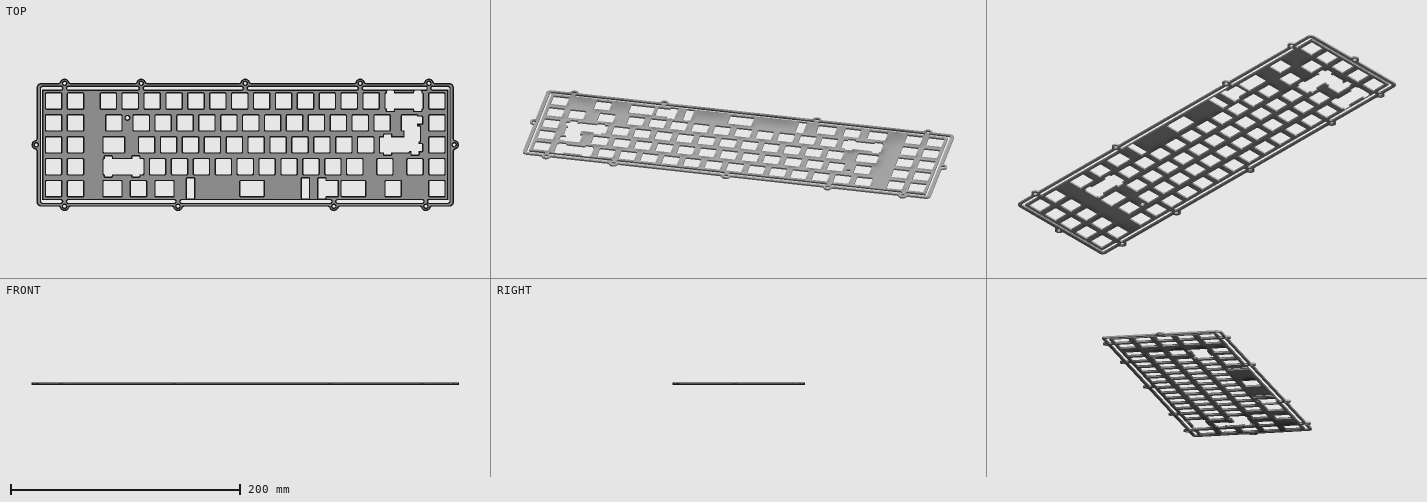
import cadquery as cq

THICKNESS = 1.5
KEY_PITCH = 19.05
COLUMN_SPAN = 18.5
ROW_COUNT = 5
ROW_MIDDLE = 0.5
PLATE_LENGTH = COLUMN_SPAN * KEY_PITCH
PLATE_WIDTH = ROW_COUNT * KEY_PITCH

OVERALL_LENGTH = 370.79
OVERALL_WIDTH = 114.22
END_GAP = 1.8
SIDE_GAP = 3.3
END_RAIL = 3.1
SIDE_RAIL = 2.4
GAP_LENGTH = PLATE_LENGTH + 2 * END_GAP
GAP_WIDTH = PLATE_WIDTH + 2 * SIDE_GAP
FRAME_LENGTH = GAP_LENGTH + 2 * END_RAIL
FRAME_WIDTH = GAP_WIDTH + 2 * SIDE_RAIL
FRAME_RADIUS = 4.0
GAP_RADIUS = 2.0
BRIDGE_WIDTH = 3.5
BRIDGE_FILLET = 1.6
POSITION_TOLERANCE = 0.01

LUG_RADIUS = 3.65
LUG_FILLET = 2.0
LUG_HOLE_DIAMETER = 3.5
END_LUG_X = OVERALL_LENGTH / 2 - LUG_RADIUS
LUG_Y = OVERALL_WIDTH / 2 - LUG_RADIUS
FAR_TOP_LUG_X = 159.75
LEFT_FOOT_LUG_X = -58.5
RIGHT_FOOT_LUG_X = 77.1
TOP_LUG_X = [-8.25 * KEY_PITCH, -4.75 * KEY_PITCH, 0, 5.25 * KEY_PITCH, FAR_TOP_LUG_X]
BOTTOM_LUG_X = [-8.25 * KEY_PITCH, LEFT_FOOT_LUG_X, RIGHT_FOOT_LUG_X, 8.25 * KEY_PITCH]

NUMBER_ROW, TAB_ROW, CAPS_ROW, SHIFT_ROW, SPACE_ROW = range(ROW_COUNT)

SWITCH_SIZE = 14.0
SLIVER_CLEARANCE = 4.0
CORNER_RADIUS = 0.75
STABILIZER_WIDTH = 7.0
STABILIZER_FRONT = 9.0
STABILIZER_BACK = 9.4
STABILIZER_OFFSET_2U = 11.94
STABILIZER_OFFSET_6U = 50.0
STABILIZER_OFFSET_7U = 57.15

RESET_HOLE_DIAMETER = 4.0
RESET_HOLE_X = -102.5
RESET_HOLE_Y = 23.5


def column_x(column):
    """X of a place counted in key units from the plate's left edge."""
    return column * KEY_PITCH - PLATE_LENGTH / 2


def row_y(row):
    """Y of a row's centre line, with row 0 at the top."""
    return PLATE_WIDTH / 2 - (row + ROW_MIDDLE) * KEY_PITCH


def rounded_block(length, width, radius, x=0, y=0):
    block = cq.Workplane("XY").box(length, width, THICKNESS, centered=(True, True, False))
    return block.edges("|Z").fillet(radius).translate((x, y, 0))


def disc(diameter, x, y):
    return cq.Workplane("XY").center(x, y).circle(diameter / 2).extrude(THICKNESS)


def switch_opening(row, first, last=None):
    """A switch opening, or one stretched over every switch place from first to last."""
    last = first if last is None else last
    length = SWITCH_SIZE + (last - first) * KEY_PITCH
    x = column_x((first + last) / 2)
    return rounded_block(length, SWITCH_SIZE, CORNER_RADIUS, x, row_y(row))


def stabilizer_slot(x, y, turned=False):
    """A slot reaching a little further to its back (+Y, or -X when turned) than to its front."""
    length = STABILIZER_FRONT + STABILIZER_BACK
    shift = (STABILIZER_BACK - STABILIZER_FRONT) / 2
    if turned:
        return rounded_block(length, STABILIZER_WIDTH, CORNER_RADIUS, x - shift, y)
    return rounded_block(STABILIZER_WIDTH, length, CORNER_RADIUS, x, y + shift)


def stabilizer_pair(row, column, offset):
    x = column_x(column)
    return [stabilizer_slot(x + side * offset, row_y(row)) for side in (-1, 1)]


def single_switches():
    """Openings for one switch place each; first and last column of each unbroken run."""
    runs = [
        [(0.5, 1.5), (3, 15), (18, 18)],
        [(0.5, 1.5), (3.25, 3.25), (4.5, 15.5), (16.75, 16.75), (18, 18)],
        [(0.5, 1.5), (4.75, 14.75), (18, 18)],
        [(0.5, 1.5), (5.25, 14.25), (15.625, 15.625), (17, 18)],
        [(0.5, 1.5), (4.375, 4.375), (16, 16), (18, 18)],
    ]
    openings = []
    for row, row_runs in enumerate(runs):
        for first, last in row_runs:
            count = round(last - first) + 1
            openings += [switch_opening(row, first + step) for step in range(count)]
    return openings


def backspace():
    """One wide key, or two ordinary keys side by side."""
    centre, first_half, second_half = 16.5, 16, 17
    switches = switch_opening(NUMBER_ROW, first_half, second_half)
    return [switches] + stabilizer_pair(NUMBER_ROW, centre, STABILIZER_OFFSET_2U)


def enter():
    """L-shaped opening for either a wide single-row key or a tall two-row key."""
    tall_row = (TAB_ROW + CAPS_ROW) / 2
    tall_column, wide_column, extra_column = 16.875, 16.375, 15.75
    openings = [switch_opening(CAPS_ROW, extra_column, wide_column)]
    openings.append(switch_opening(tall_row, tall_column))
    openings += stabilizer_pair(CAPS_ROW, wide_column, STABILIZER_OFFSET_2U)
    for side in (-1, 1):
        y = row_y(tall_row) + side * STABILIZER_OFFSET_2U
        openings.append(stabilizer_slot(column_x(tall_column), y, turned=True))
    sliver_x = column_x(wide_column) + SWITCH_SIZE / 2
    sliver_y = row_y(tall_row) - SWITCH_SIZE / 2
    openings.append(rounded_block(SLIVER_CLEARANCE, SLIVER_CLEARANCE, CORNER_RADIUS, sliver_x, sliver_y))
    return openings


def left_shift():
    """One wide key, or a short key with an extra key on its right."""
    wide_column, short_column, extra_column = 3.625, 3.125, 4.25
    switches = switch_opening(SHIFT_ROW, short_column, extra_column)
    return [switches] + stabilizer_pair(SHIFT_ROW, wide_column, STABILIZER_OFFSET_2U)


def space_bar():
    """Opening for two space bar lengths, which share the left stabilizer slot."""
    short_bar, long_bar = 9.375, 9.75
    openings = [switch_opening(SPACE_ROW, short_bar, long_bar)]
    openings += stabilizer_pair(SPACE_ROW, short_bar, STABILIZER_OFFSET_6U)
    openings.append(stabilizer_slot(column_x(long_bar) + STABILIZER_OFFSET_7U, row_y(SPACE_ROW)))
    return openings


def stretched_switches():
    """Openings of the caps lock and space rows that mostly serve two nearby switch places."""
    caps_lock = switch_opening(CAPS_ROW, 3.125, 3.375)
    bottom_row = [(3.125, 3.25), (5.5, 5.625), (13.125, 13.125), (14, 14.375)]
    return [caps_lock] + [switch_opening(SPACE_ROW, first, last) for first, last in bottom_row]


def lug_places():
    places = [(x, LUG_Y) for x in TOP_LUG_X]
    places += [(x, -LUG_Y) for x in BOTTOM_LUG_X]
    return places + [(-END_LUG_X, 0), (END_LUG_X, 0)]


def near(value, targets):
    return any(abs(value - target) < POSITION_TOLERANCE for target in targets)


def fillet_uprights(solid, radius, is_wanted):
    """Fillet the vertical edges whose (x, y) place passes the test."""
    uprights = solid.edges("|Z").filter(lambda edge: is_wanted(edge.Center().x, edge.Center().y))
    return uprights.fillet(radius)


def frame():
    """Outer ring with its lugs, each flaring into the ring."""
    solid = rounded_block(FRAME_LENGTH, FRAME_WIDTH, FRAME_RADIUS)
    for x, y in lug_places():
        solid = solid.union(disc(2 * LUG_RADIUS, x, y))

    def beside_lug(x, y):
        on_end = near(abs(x), [FRAME_LENGTH / 2]) and abs(y) <= LUG_RADIUS
        on_side = near(abs(y), [FRAME_WIDTH / 2])
        at_lug = any(abs(x - lug_x) <= LUG_RADIUS for lug_x in TOP_LUG_X + BOTTOM_LUG_X)
        return on_end or (on_side and at_lug)

    solid = fillet_uprights(solid, LUG_FILLET, beside_lug)
    return solid.cut(rounded_block(GAP_LENGTH, GAP_WIDTH, GAP_RADIUS))


def bridge(x, side):
    block = cq.Workplane("XY").box(BRIDGE_WIDTH, SIDE_GAP, THICKNESS, centered=(True, True, False))
    return block.translate((x, side * (PLATE_WIDTH + SIDE_GAP) / 2, 0))


def body():
    """Plate, frame, bridges and lugs in one piece."""
    plate = cq.Workplane("XY").box(PLATE_LENGTH, PLATE_WIDTH, THICKNESS, centered=(True, True, False))
    solid = plate.union(frame())
    for x in TOP_LUG_X:
        solid = solid.union(bridge(x, 1))
    for x in BOTTOM_LUG_X:
        solid = solid.union(bridge(x, -1))

    def beside_bridge(x, y):
        at_bridge = near(min(abs(x - lug_x) for lug_x in TOP_LUG_X + BOTTOM_LUG_X), [BRIDGE_WIDTH / 2])
        return at_bridge and near(abs(y), [PLATE_WIDTH / 2, GAP_WIDTH / 2])

    return fillet_uprights(solid, BRIDGE_FILLET, beside_bridge)


openings = single_switches() + stretched_switches()
openings += backspace() + enter() + left_shift() + space_bar()
openings += [disc(LUG_HOLE_DIAMETER, x, y) for x, y in lug_places()]
openings.append(disc(RESET_HOLE_DIAMETER, RESET_HOLE_X, RESET_HOLE_Y))
cutters = [opening.val() for opening in openings]

result = cq.Workplane(body().val().cut(*cutters)).translate((0, 0, -THICKNESS / 2))